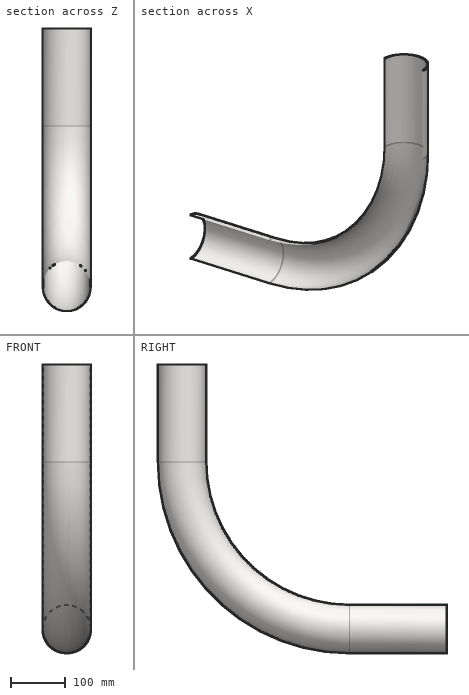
import cadquery as cq

outer_diameter = 88.9
inner_diameter = 85.7
bend_radius = 304.8
leg_length = 177.8
bend_angle = 90.0


def tube_section(plane):
    """Ring-shaped cross-section of the tube, centred on the plane origin."""
    return cq.Workplane(plane).circle(outer_diameter / 2).circle(inner_diameter / 2)


def horizontal_leg():
    """Straight tube running from the bend along +Y."""
    start = cq.Plane(origin=(0, bend_radius, 0), xDir=(1, 0, 0), normal=(0, 1, 0))
    return tube_section(start).extrude(leg_length)


def vertical_leg():
    """Straight tube running from the bend along +Z."""
    start = cq.Plane(origin=(0, 0, bend_radius), xDir=(1, 0, 0), normal=(0, 0, 1))
    return tube_section(start).extrude(leg_length)


def bend():
    """Quarter torus joining the legs, centred at Y = Z = bend_radius."""
    start = cq.Plane(origin=(0, 0, bend_radius), xDir=(1, 0, 0), normal=(0, 0, 1))
    return tube_section(start).revolve(bend_angle, (0, bend_radius, 0), (1, bend_radius, 0))


result = bend().union(horizontal_leg()).union(vertical_leg())